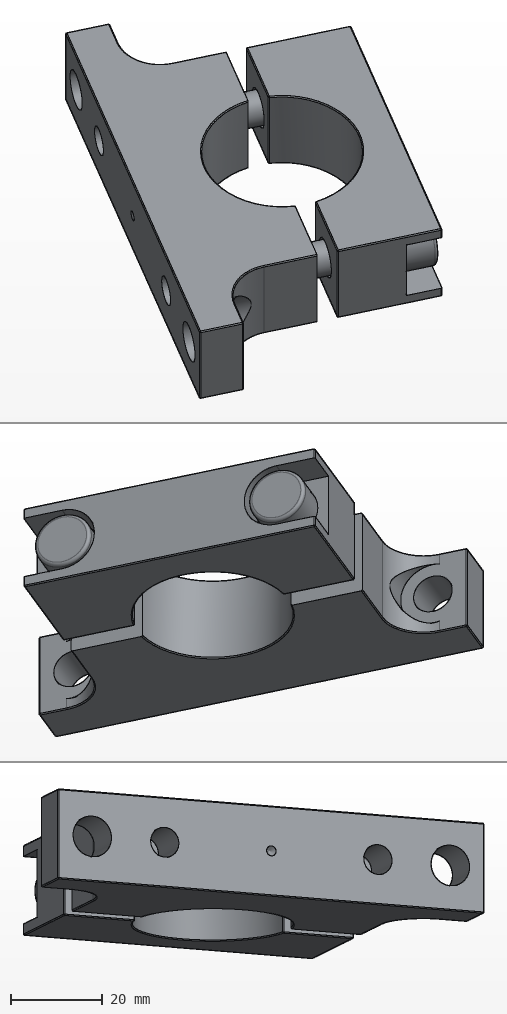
import cadquery as cq
import math

base_length = 100.0
thickness = 20.0
total_height = 60.0
flange_height = 10.0
body_width = 68.0
corner_radius = 9.5
edge_break = 0.25

bore_diameter = 35.0
bore_center_y = 34.0
base_top_y = 31.6
cap_bottom_y = 36.2

mount_spacing = 84.0
mount_diameter = 9.0
spotface_diameter = 15.0

mark_diameter = 2.2
mark_depth = 1.1

screw_spacing = 50.0
shank_diameter = 8.0
clearance_diameter = 9.0
shank_length = 40.0
head_diameter = 13.0
head_height = 8.1
head_edge_break = 0.8
core_diameter = 6.6
head_slot_width = 15.0
head_slot_depth = head_height
head_seat_y = total_height - head_slot_depth
screw_tip_y = head_seat_y - shank_length

half_body = body_width / 2
half_base = base_length / 2
along_y = cq.Vector(0, 1, 0)


def rod(x, y_start, y_end, diameter):
    """Cylinder along +Y at the given X, centred on Z = 0."""
    axis_start = cq.Vector(x, y_start, 0)
    return cq.Workplane(cq.Solid.makeCylinder(diameter / 2, y_end - y_start, axis_start, along_y))


def mirrored_positions(spacing):
    """X positions of a pair of features spaced evenly about the middle."""
    return (-spacing / 2, spacing / 2)


def bore():
    """Shaft bore through both halves along Z."""
    return cq.Workplane("XY").center(0, bore_center_y).circle(bore_diameter / 2).extrude(thickness, both=True)


def make_base():
    """Foot with flanges, lower half of the bore, mounting holes and threaded holes."""
    fillet_top_y = flange_height + corner_radius
    fillet_end_x = half_body + corner_radius
    base = (
        cq.Workplane("XY")
        .moveTo(-half_base, 0)
        .lineTo(half_base, 0)
        .lineTo(half_base, flange_height)
        .lineTo(fillet_end_x, flange_height)
        .radiusArc((half_body, fillet_top_y), corner_radius)
        .lineTo(half_body, base_top_y)
        .lineTo(-half_body, base_top_y)
        .lineTo(-half_body, fillet_top_y)
        .radiusArc((-fillet_end_x, flange_height), corner_radius)
        .lineTo(-half_base, flange_height)
        .close()
        .extrude(thickness / 2, both=True)
    )
    base = base.cut(bore())
    broken_edges = [
        edge
        for edge in base.faces("<X or >X or <Y or <Z or >Z").edges().vals()
        if edge.Center().y < base_top_y - edge_break
    ]
    base = base.newObject(broken_edges).chamfer(edge_break)
    for x in mirrored_positions(mount_spacing):
        base = base.cut(rod(x, 0, flange_height, mount_diameter))
        base = base.cut(rod(x, flange_height, base_top_y, spotface_diameter))
    for x in mirrored_positions(screw_spacing):
        base = base.cut(rod(x, 0, screw_tip_y, core_diameter))
        base = base.cut(rod(x, screw_tip_y, base_top_y, shank_diameter))
    mark = cq.Solid.makeCone(mark_diameter / 2, 0, mark_depth, cq.Vector(0, 0, 0), along_y)
    return base.cut(cq.Workplane(mark))


def make_cap():
    """Upper half of the bore with screw holes and head slots open to the sides."""
    cap_height = total_height - cap_bottom_y
    cap = cq.Workplane("XY").box(body_width, cap_height, thickness)
    cap = cap.translate((0, cap_bottom_y + cap_height / 2, 0)).cut(bore())
    cap = cap.edges().chamfer(edge_break)
    for x in mirrored_positions(screw_spacing):
        cap = cap.cut(rod(x, cap_bottom_y, head_seat_y, clearance_diameter))
        cap = cap.cut(rod(x, head_seat_y, total_height, head_slot_width))
        slot = cq.Workplane("XY").box(half_body, head_slot_depth, head_slot_width)
        slot_x = x + math.copysign(half_body / 2, x)
        cap = cap.cut(slot.translate((slot_x, head_seat_y + head_slot_depth / 2, 0)))
    return cap


def make_screw(x):
    """Cap screw with its head seated in the slot of the cap."""
    head = rod(x, head_seat_y, head_seat_y + head_height, head_diameter)
    head = head.faces(">Y").edges().fillet(head_edge_break)
    return head.union(rod(x, screw_tip_y, head_seat_y, shank_diameter))


base = make_base()
cap = make_cap()
screws = [make_screw(x) for x in mirrored_positions(screw_spacing)]

result = cq.Compound.makeCompound([base.val(), cap.val(), *[screw.val() for screw in screws]])